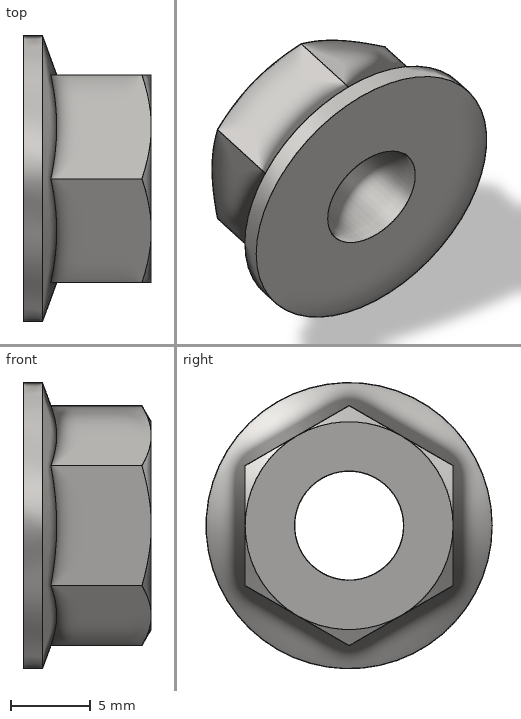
import cadquery as cq
import math

nut_height = 8.0
flange_diameter = 17.9
flange_rim_thickness = 1.2
flange_slope_angle = 20.0
across_flats = 13.0
chamfer_angle = 30.0
bore_diameter = 6.8

flange_radius = flange_diameter / 2
flat_radius = across_flats / 2
corner_radius = flat_radius / math.cos(math.radians(30))


def revolve_about_axis(profile):
    """Revolve a closed (axial, radial) profile around the X axis."""
    return cq.Workplane("XY").polyline(profile).close().revolve(360, (0, 0, 0), (1, 0, 0))


def make_flange():
    """Disc with a conical back that rises to the flats of the hexagon."""
    cone_rise = (flange_radius - flat_radius) * math.tan(math.radians(flange_slope_angle))
    cone_top = flange_rim_thickness + cone_rise
    return revolve_about_axis([
        (0, 0),
        (0, flange_radius),
        (flange_rim_thickness, flange_radius),
        (cone_top, flat_radius),
        (cone_top, 0),
    ])


def make_hexagon():
    """Hexagonal body with corners on +Z and -Z and a chamfered free end."""
    corners = []
    for index in range(6):
        angle = math.radians(90 + 60 * index)
        corners.append((corner_radius * math.cos(angle), corner_radius * math.sin(angle)))
    prism = cq.Workplane("YZ").polyline(corners).close().extrude(nut_height)

    chamfer_drop = (flange_radius - flat_radius) * math.tan(math.radians(chamfer_angle))
    chamfer_envelope = revolve_about_axis([
        (0, 0),
        (0, flange_radius),
        (nut_height - chamfer_drop, flange_radius),
        (nut_height, flat_radius),
        (nut_height, 0),
    ])
    return prism.intersect(chamfer_envelope)


bore = cq.Workplane("YZ").circle(bore_diameter / 2).extrude(nut_height)
result = make_flange().union(make_hexagon()).cut(bore)